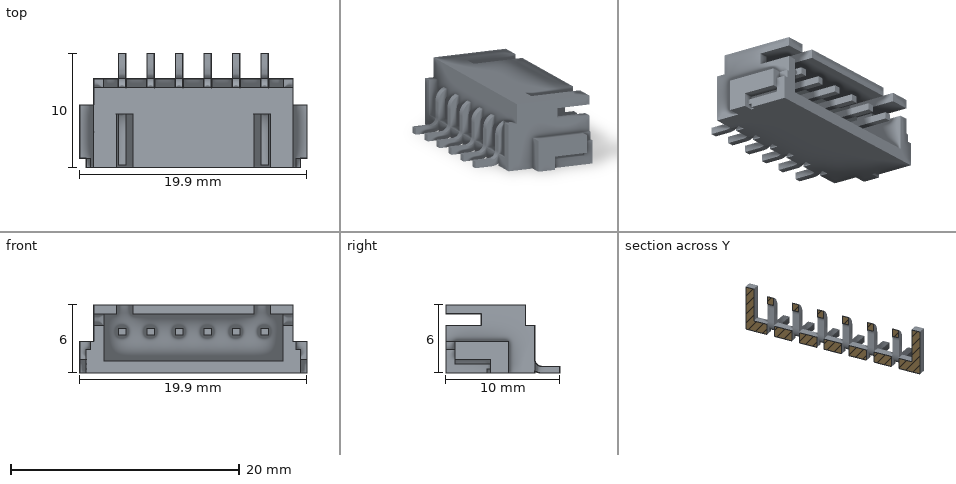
import cadquery as cq
import math


body_width = 17.5
body_height = 6.0
body_depth = 7.0
rear_depth = 7.8
rear_height = 4.2
floor_thickness = 1.05
roof_thickness = 0.8
side_wall = 0.9
cavity_depth = 4.7
foot_width = 18.0

roof_slot_width = 1.45
roof_slot_center = 6.03
side_notch_depth = 3.1

rear_recess_width = 15.8
tail_slot_width = 0.7

pin_count = 6
pin_pitch = 2.5
pin_width = 0.65
pin_thickness = 0.6
pin_top = 3.93
pin_front = 0.22
tail_end = 10.0
bend_radius = 0.65

clip_reach = 9.975
clip_front = 0.8
clip_back = 5.5
clip_height = 2.8
clip_leg_front = 3.9
clip_arch_height = 1.2
plate_reach = 9.4
plate_height = 0.8
plate_front_height = 2.1
plate_corner_length = 0.3
plate_corner_height = 0.35

roof_underside = body_height - roof_thickness
cavity_width = body_width - 2 * side_wall
pin_positions = [(i - (pin_count - 1) / 2) * pin_pitch for i in range(pin_count)]


def block(x0, x1, y0, y1, z0, z1):
    """Box given by its limits along each axis."""
    return cq.Workplane("XY").box(x1 - x0, y1 - y0, z1 - z0, centered=False).translate((x0, y0, z0))


def centered_block(x_center, width, y0, y1, z0, z1):
    """Box of a given width about x_center."""
    return block(x_center - width / 2, x_center + width / 2, y0, y1, z0, z1)


def make_housing():
    housing = centered_block(0, body_width, 0, body_depth, 0, body_height)
    housing = housing.union(centered_block(0, body_width, 0, rear_depth, 0, rear_height))
    housing = housing.union(centered_block(0, foot_width, 0, clip_back, 0, clip_height))

    housing = housing.cut(centered_block(0, cavity_width, 0, cavity_depth, floor_thickness, roof_underside))
    housing = housing.cut(centered_block(0, body_width, 0, side_notch_depth, rear_height, roof_underside))
    for x in (-roof_slot_center, roof_slot_center):
        housing = housing.cut(
            centered_block(x, roof_slot_width, 0, cavity_depth, roof_underside, body_height)
        )
    housing = housing.cut(
        centered_block(0, rear_recess_width, body_depth, rear_depth, floor_thickness, rear_height)
    )
    for x in pin_positions:
        housing = housing.cut(centered_block(x, tail_slot_width, body_depth, rear_depth, 0, rear_height))
    return housing


def make_pin(x):
    """Pin that leaves the housing, bends down to the board and turns back out."""
    outer_radius = bend_radius + pin_thickness
    leg_back = rear_depth
    leg_front = leg_back - pin_thickness
    upper_y = leg_back - outer_radius
    upper_z = pin_top - outer_radius
    lower_y = leg_back + bend_radius
    lower_z = outer_radius
    inner_mid = bend_radius * math.sqrt(0.5)
    outer_mid = outer_radius * math.sqrt(0.5)

    profile = (
        cq.Workplane("YZ")
        .moveTo(pin_front, pin_top)
        .lineTo(upper_y, pin_top)
        .threePointArc((upper_y + outer_mid, upper_z + outer_mid), (leg_back, upper_z))
        .lineTo(leg_back, lower_z)
        .threePointArc((lower_y - inner_mid, lower_z - inner_mid), (lower_y, pin_thickness))
        .lineTo(tail_end, pin_thickness)
        .lineTo(tail_end, 0)
        .lineTo(lower_y, 0)
        .threePointArc((lower_y - outer_mid, lower_z - outer_mid), (leg_front, lower_z))
        .lineTo(leg_front, upper_z)
        .threePointArc((upper_y + inner_mid, upper_z + inner_mid), (upper_y, pin_top - pin_thickness))
        .lineTo(pin_front, pin_top - pin_thickness)
        .close()
    )
    return profile.extrude(pin_width / 2, both=True).translate((x, 0, 0))


def make_right_clip():
    """Outer strip with a leg at the back, over a thin inner plate."""
    inner = body_width / 2
    clip = block(inner, clip_reach, clip_front, clip_back, 0, clip_height)
    clip = clip.cut(block(foot_width / 2, clip_reach, clip_front, clip_leg_front, 0, clip_arch_height))

    plate = block(inner, plate_reach, 0, clip_leg_front, 0, plate_height)
    plate = plate.union(block(inner, plate_reach, 0, clip_front, 0, plate_front_height))
    corner_front = clip_leg_front - plate_corner_length
    plate = plate.cut(
        block(foot_width / 2, plate_reach, corner_front, clip_leg_front, 0, plate_corner_height)
    )
    return clip.union(plate)


right_clip = make_right_clip()
result = make_housing().union(right_clip).union(right_clip.mirror("YZ"))
for pin_x in pin_positions:
    result = result.union(make_pin(pin_x))